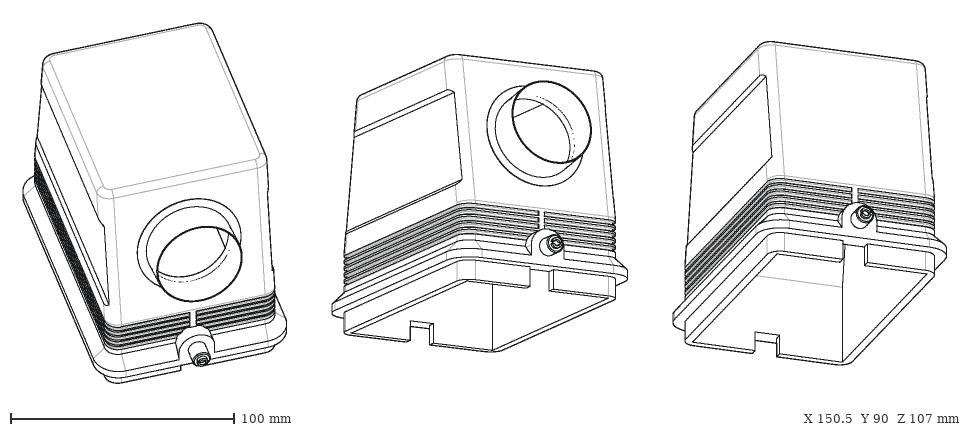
import cadquery as cq
import math

BODY_LENGTH = 120.5
BODY_WIDTH = 79.4
HEIGHT = 107.0
TAPER_START_Z = 36.6
TAPER = math.radians(10.3)
CORNER_RADIUS = 6.1
TOP_FILLET = 3.2
WALL = 4.0

FLANGE_LENGTH = 132.0
FLANGE_WIDTH = 90.0
FLANGE_CORNER_RADIUS = 11.7
FLANGE_BOTTOM_Z = 9.0
FLANGE_EDGE_Z = 12.9
FLANGE_TOP_Z = 18.2

RECESS_DEPTH = 1.5
RECESS_BORDER = 1.9
RECESS_BOTTOM_Z = 44.7
RECESS_TOP_Z = 90.2

GROOVE_COUNT = 5
GROOVE_PITCH = 3.0
FIRST_GROOVE_Z = 22.1
SIDE_GROOVE_DEPTH = 1.4
END_GROOVE_DEPTH = 0.6
GROOVE_WIDTH = 2.0
GROOVE_FLOOR_RADIUS = 0.5

BAR_WIDTH = 3.0
BAR_TOP_Z = 35.2

PIN_Z = 17.6
HUB_RADIUS = 8.3
PIN_DIAMETER = 8.2
PIN_END_X = 73.75
PIN_CHAMFER = 0.5
CROWN_DIAMETER = 4.8
CROWN_BORE = 2.8
CROWN_END_X = 75.25
CROWN_SLOT = 1.0

NOTCH_WIDTH = 11.7

ENTRY_Z = 71.4
ENTRY_DIAMETER = 40.0
ENTRY_WALL = 0.5
ENTRY_LENGTH = 16.25
SEAT_DIAMETER = 48.5
SEAT_DEPTH = 0.3

HALF_LENGTH = BODY_LENGTH / 2
HALF_FLANGE = FLANGE_LENGTH / 2


def wall_x(z):
    """Half length of the hood at height z in the leaning zone."""
    return HALF_LENGTH - (z - TAPER_START_Z) * math.tan(TAPER)


def rounded_rectangle(length, width, radius):
    return cq.Sketch().rect(length, width).vertices().fillet(radius)


def hood_block(inset):
    """Hood shape moved inward by inset on the sides and the top, without its edge roundings."""
    half_base = HALF_LENGTH - inset
    top_z = HEIGHT - inset
    half_top = wall_x(top_z) - inset / math.cos(TAPER)
    kink_z = TAPER_START_Z - inset * math.tan(TAPER / 2)
    half_width = BODY_WIDTH / 2 - inset
    outline = [
        (-half_base, 0),
        (half_base, 0),
        (half_base, kink_z),
        (half_top, top_z),
        (-half_top, top_z),
        (-half_base, kink_z),
    ]
    return cq.Workplane("XZ").polyline(outline).close().extrude(half_width, both=True)


def rounded_hood():
    corners = hood_block(0).edges("not(#Z or |Y)").fillet(CORNER_RADIUS)
    return corners.faces(">Z").edges().fillet(TOP_FILLET)


def flange():
    edge = rounded_rectangle(FLANGE_LENGTH, FLANGE_WIDTH, FLANGE_CORNER_RADIUS)
    top = rounded_rectangle(BODY_LENGTH, BODY_WIDTH, CORNER_RADIUS)
    edge_height = FLANGE_EDGE_Z - FLANGE_BOTTOM_Z
    slope_height = FLANGE_TOP_Z - FLANGE_EDGE_Z
    rim = cq.Workplane("XY", origin=(0, 0, FLANGE_BOTTOM_Z)).placeSketch(edge).extrude(edge_height)
    raised_top = top.moved(cq.Location(cq.Vector(0, 0, slope_height)))
    slope = cq.Workplane("XY", origin=(0, 0, FLANGE_EDGE_Z)).placeSketch(edge, raised_top).loft(ruled=True)
    return rim.union(slope)


def side_recess(side):
    """Cutter for the recess on the long side at +Y (side = 1) or -Y (side = -1)."""
    surface_y = side * BODY_WIDTH / 2
    floor_y = side * (BODY_WIDTH / 2 - RECESS_DEPTH)
    outline = [
        (surface_y, RECESS_BOTTOM_Z),
        (floor_y, RECESS_BOTTOM_Z + RECESS_BORDER),
        (floor_y, RECESS_TOP_Z - RECESS_BORDER),
        (surface_y, RECESS_TOP_Z),
    ]
    return cq.Workplane("YZ").polyline(outline).close().extrude(HALF_LENGTH, both=True)


def groove(center_z):
    """Ring-shaped cutter for one grip groove, with rounded floor corners."""
    outer = rounded_rectangle(BODY_LENGTH, BODY_WIDTH, CORNER_RADIUS)
    inner = rounded_rectangle(
        BODY_LENGTH - 2 * END_GROOVE_DEPTH,
        BODY_WIDTH - 2 * SIDE_GROOVE_DEPTH,
        CORNER_RADIUS - END_GROOVE_DEPTH,
    )
    base = cq.Workplane("XY", origin=(0, 0, center_z - GROOVE_WIDTH / 2))
    ring = base.placeSketch(outer).extrude(GROOVE_WIDTH)
    ring = ring.cut(base.placeSketch(inner).extrude(GROOVE_WIDTH))
    flat_faces = ring.faces("|Z").vals()
    floor_edges = [edge for face in flat_faces for wire in face.innerWires() for edge in wire.Edges()]
    return ring.newObject(floor_edges).fillet(GROOVE_FLOOR_RADIUS)


def groove_bar(side):
    height = BAR_TOP_Z - FLANGE_TOP_Z
    bar = cq.Workplane("XY").box(WALL, BAR_WIDTH, height, centered=(True, True, False))
    return bar.translate((side * (HALF_LENGTH - WALL / 2), 0, FLANGE_TOP_Z))


def pin(side):
    """Hub, pin and slotted crown on the end wall at +X (side = 1) or -X (side = -1)."""
    root_x = HALF_LENGTH - WALL / 2
    base = cq.Workplane("YZ", origin=(root_x, 0, PIN_Z))
    hub_length = HALF_FLANGE - root_x
    foot_height = PIN_Z - FLANGE_BOTTOM_Z
    hub = base.circle(HUB_RADIUS).extrude(hub_length)
    foot = base.center(0, -foot_height / 2).rect(2 * HUB_RADIUS, foot_height).extrude(hub_length)
    shank = base.circle(PIN_DIAMETER / 2).extrude(PIN_END_X - root_x)
    shank = shank.faces(">X").chamfer(PIN_CHAMFER)
    tip = cq.Workplane("YZ", origin=(PIN_END_X, 0, PIN_Z))
    crown_length = CROWN_END_X - PIN_END_X
    crown = tip.circle(CROWN_DIAMETER / 2).circle(CROWN_BORE / 2).extrude(crown_length)
    crown = crown.cut(tip.rect(CROWN_DIAMETER, CROWN_SLOT).extrude(crown_length))
    whole = hub.union(foot).union(shank).union(crown)
    return whole if side > 0 else whole.mirror("YZ")


def entry_plane():
    """Plane on the +X end wall, at the cable entry, facing outward."""
    normal = (math.cos(TAPER), 0, math.sin(TAPER))
    return cq.Workplane(cq.Plane((wall_x(ENTRY_Z), 0, ENTRY_Z), (0, 1, 0), normal))


def build():
    """Closed hood with its outer details first, then the cavity, notches and entry bore."""
    body = rounded_hood()
    for index in range(GROOVE_COUNT):
        body = body.cut(groove(FIRST_GROOVE_Z + index * GROOVE_PITCH))
    body = body.union(flange())
    for side in (-1, 1):
        body = body.cut(side_recess(side))
        body = body.union(groove_bar(side)).union(pin(side))

    seat = entry_plane().workplane(offset=-SEAT_DEPTH)
    body = body.cut(seat.circle(SEAT_DIAMETER / 2).extrude(SEAT_DEPTH))
    body = body.union(seat.circle(ENTRY_DIAMETER / 2).extrude(SEAT_DEPTH + ENTRY_LENGTH))

    body = body.cut(hood_block(WALL))
    notch = cq.Workplane("XY").box(BODY_LENGTH, NOTCH_WIDTH, FLANGE_BOTTOM_Z, centered=(True, True, False))
    body = body.cut(notch)
    bore_radius = ENTRY_DIAMETER / 2 - ENTRY_WALL
    bore_start = 2 * WALL
    bore = entry_plane().workplane(offset=-bore_start).circle(bore_radius).extrude(bore_start + ENTRY_LENGTH)
    return body.cut(bore)


result = build()